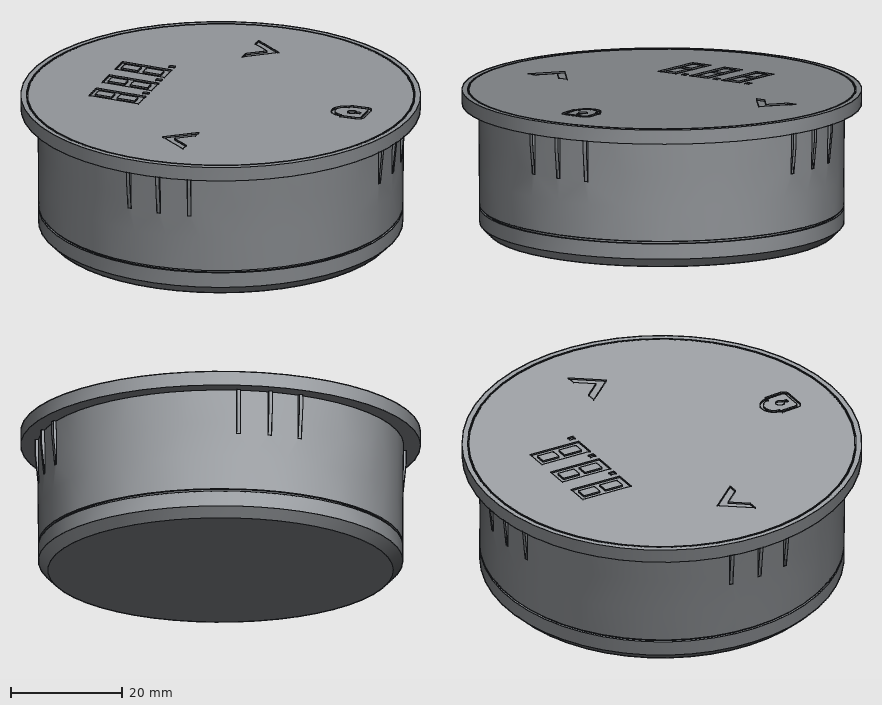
import cadquery as cq

flange_diameter = 72.0
total_height = 26.15
flange_thickness = 2.6
flange_radius = flange_diameter / 2
flange_underside = total_height - flange_thickness

housing_radius = 33.0
lower_radius = 32.85
bottom_chamfer = 1.7
seam_bottom = 4.55
seam_height = 0.4
seam_depth = 0.4

disc_radius = 34.8
gap_width = 0.2
gap_depth = 0.3

rib_width = 0.65
rib_radius = 33.55
rib_bottom = 15.4
rib_taper_top = 21.0
rib_root = 0.7
rib_spacing = 10
ribs_per_group = 3
rib_groups = 4

mark_depth = 0.3

arrow_length = 5.5
arrow_half_width = 4.3
arrow_stroke = 2.3
arrow_tip_x = 2.8
arrow_offset_y = 23.1

display_x = -17.3
digit_pitch = 6.9
digit_length = 9.8
digit_width = 3.95
digit_slant = 0.9
digit_stroke = 1.0
digit_count = 3
island_spans = [(-4.0, -0.8), (0.3, 3.75)]
dot_length = 1.1
dot_width = 0.9
dot_offset_y = 3.1

lock_left = 23.8
lock_right = 28.15
lock_half_width = 2.95
lock_stroke = 0.65
lock_corner = 1.1
shackle_radius = 2.5
keyhole_x = 25.1
keyhole_radius = 0.8
keyhole_slot_end = 26.7
keyhole_slot_width = 0.65


def make_body():
    seam_top = seam_bottom + seam_height
    seam_radius = lower_radius - seam_depth
    profile = [
        (0, 0),
        (lower_radius - bottom_chamfer, 0),
        (lower_radius, bottom_chamfer),
        (lower_radius, seam_bottom),
        (seam_radius, seam_bottom),
        (seam_radius, seam_top),
        (lower_radius, seam_top),
        (housing_radius, flange_underside),
        (flange_radius, flange_underside),
        (flange_radius, total_height),
        (0, total_height),
    ]
    return cq.Workplane("XZ").polyline(profile).close().revolve(360, (0, 0), (0, 1))


def make_rib(angle):
    inner = housing_radius - rib_root
    profile = [
        (inner, rib_bottom),
        (housing_radius, rib_bottom),
        (rib_radius, rib_taper_top),
        (rib_radius, flange_underside),
        (inner, flange_underside),
    ]
    rib = cq.Workplane("XZ").polyline(profile).close().extrude(rib_width / 2, both=True)
    return rib.rotate((0, 0, 0), (0, 0, 1), angle)


def top_plane():
    return cq.Workplane("XY", origin=(0, 0, total_height))


def recess(points):
    """Cutter that sinks a closed outline into the top face."""
    return top_plane().polyline(points).close().extrude(-mark_depth)


def recess_box(start_x, end_x, width, center_y=0):
    """Cutter that sinks a rectangle into the top face."""
    box = top_plane().center((start_x + end_x) / 2, center_y)
    return box.rect(end_x - start_x, width).extrude(-mark_depth)


def make_gap():
    return top_plane().circle(disc_radius + gap_width).circle(disc_radius).extrude(-gap_depth)


def make_arrow():
    """Chevron on the +Y side that points toward +X."""
    tail_x = arrow_tip_x - arrow_length
    tail_width = arrow_stroke * arrow_half_width / arrow_length
    inner_half_width = arrow_half_width - tail_width
    return recess([
        (tail_x, arrow_offset_y + arrow_half_width),
        (arrow_tip_x, arrow_offset_y),
        (tail_x, arrow_offset_y - arrow_half_width),
        (tail_x, arrow_offset_y - inner_half_width),
        (arrow_tip_x - arrow_stroke, arrow_offset_y),
        (tail_x, arrow_offset_y + inner_half_width),
    ])


def slanted_panel(start, end, width, center_y):
    """Parallelogram of the display, from start to end along X from the digit centre."""
    slope = digit_slant / digit_length
    start_y = center_y - slope * start
    end_y = center_y - slope * end
    return recess([
        (display_x + start, start_y - width / 2),
        (display_x + end, end_y - width / 2),
        (display_x + end, end_y + width / 2),
        (display_x + start, start_y + width / 2),
    ])


def make_digit(center_y):
    """Figure-eight digit with its decimal dot on the +Y side."""
    digit = slanted_panel(-digit_length / 2, digit_length / 2, digit_width, center_y)
    for start, end in island_spans:
        digit = digit.cut(slanted_panel(start, end, digit_width - 2 * digit_stroke, center_y))
    dot_end = display_x + digit_length / 2
    dot = recess_box(dot_end - dot_length, dot_end, dot_width, center_y + dot_offset_y)
    return digit.union(dot)


def lock_panel(right, half_width, corner):
    """Lock body area, square at its -X end and rounded at its +X end."""
    panel = recess_box(lock_left, right, 2 * half_width)
    return panel.edges("|Z and >X").fillet(corner)


def make_lock():
    """Padlock outline: a frame open toward -X, a half-ring shackle there and a keyhole."""
    frame = lock_panel(lock_right, lock_half_width, lock_corner).cut(
        lock_panel(lock_right - lock_stroke, lock_half_width - lock_stroke, lock_corner - lock_stroke)
    )
    ring = top_plane().center(lock_left, 0).circle(shackle_radius).circle(shackle_radius - lock_stroke)
    shackle = ring.extrude(-mark_depth).cut(
        recess_box(lock_left, lock_left + shackle_radius, 2 * shackle_radius)
    )
    keyhole = top_plane().center(keyhole_x, 0).circle(keyhole_radius).extrude(-mark_depth)
    slot = recess_box(keyhole_x, keyhole_slot_end, keyhole_slot_width)
    return frame.union(shackle).union(keyhole).union(slot)


result = make_body()

for group in range(rib_groups):
    for index in range(ribs_per_group):
        offset = (index - (ribs_per_group - 1) / 2) * rib_spacing
        result = result.union(make_rib(group * 360 / rib_groups + offset))

result = result.cut(make_gap())

arrow = make_arrow()
result = result.cut(arrow)
result = result.cut(arrow.rotate((0, 0, 0), (0, 0, 1), 180))

for index in range(digit_count):
    digit_y = (index - (digit_count - 1) / 2) * digit_pitch
    result = result.cut(make_digit(digit_y))

result = result.cut(make_lock())